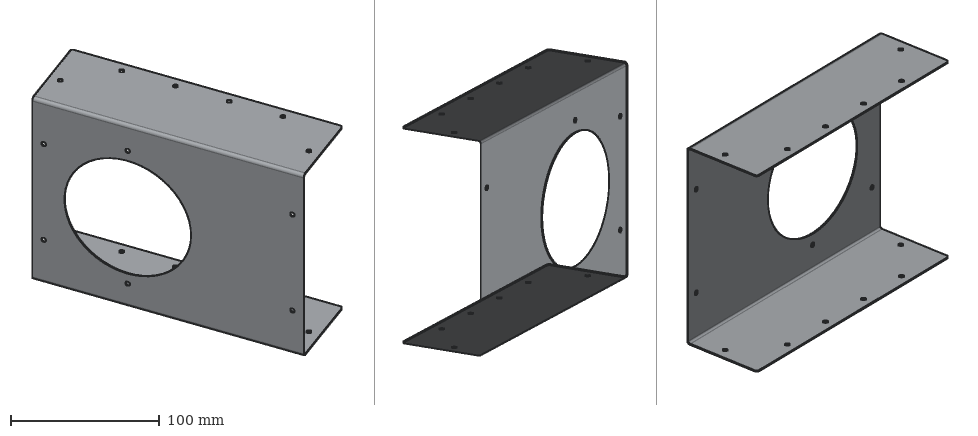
import cadquery as cq

length = 202.0
depth = 61.0
height = 152.0
thickness = 1.0
bend_radius = 2.5
corner_radius = 2.0

opening_diameter = 94.2
opening_x = -30.0
opening_z = -1.28
opening_screw_spacing = 111.0

screw_diameter = 3.4
side_hole_spacing = 185.0
web_hole_spacing_z = 80.0
flange_side_hole_setback = 35.0
flange_row_setback = 7.5
flange_row_count = 4
flange_row_pitch = 40.0

front_y = -depth / 2
back_y = depth / 2


def make_channel():
    """Bent sheet: a rounded outer block with its inside removed through the back."""
    outer = cq.Workplane("XY").box(length, depth, height)
    outer = outer.edges("|X and <Y").fillet(bend_radius)
    inner = cq.Workplane("XY").box(length, depth, height - 2 * thickness)
    inner = inner.edges("|X and <Y").fillet(bend_radius - thickness)
    channel = outer.cut(inner.translate((0, thickness, 0)))
    return channel.edges("|Z and >Y").fillet(corner_radius)


def web_cylinders(points, diameter):
    """Cutters along Y that pass through the web only, at (x, z) points."""
    start = cq.Workplane("XZ", origin=(0, front_y + thickness, 0))
    return start.pushPoints(points).circle(diameter / 2).extrude(thickness)


def flange_cylinders(points, diameter):
    """Cutters along Z that pass through both flanges, at (x, y) points."""
    start = cq.Workplane("XY", origin=(0, 0, -height / 2))
    return start.pushPoints(points).circle(diameter / 2).extrude(height)


def web_screw_points():
    side_holes = [
        (side * side_hole_spacing / 2, level * web_hole_spacing_z / 2)
        for side in (-1, 1)
        for level in (-1, 1)
    ]
    opening_holes = [
        (opening_x, opening_z + level * opening_screw_spacing / 2)
        for level in (-1, 1)
    ]
    return side_holes + opening_holes


def flange_screw_points():
    side_holes = [
        (side * side_hole_spacing / 2, back_y - flange_side_hole_setback)
        for side in (-1, 1)
    ]
    row_start = -flange_row_pitch * (flange_row_count - 1) / 2
    row_holes = [
        (row_start + index * flange_row_pitch, back_y - flange_row_setback)
        for index in range(flange_row_count)
    ]
    return side_holes + row_holes


result = make_channel()
result = result.cut(web_cylinders([(opening_x, opening_z)], opening_diameter))
result = result.cut(web_cylinders(web_screw_points(), screw_diameter))
result = result.cut(flange_cylinders(flange_screw_points(), screw_diameter))